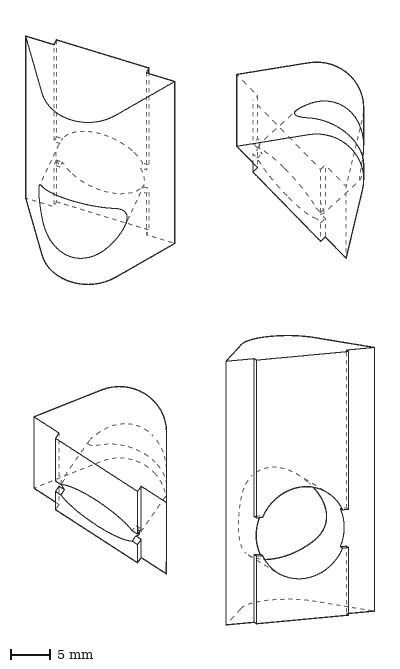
import cadquery as cq
import math

length = 34.5
width = 20.3
depth = 11.2
nose_radius = 6.0
rib_width = 12.55
rib_height = 0.83
hole_diameter = 12.0
hole_height = 11.35
rib_gap = 5.0

nose_tip_y = rib_height - depth
nose_center_y = nose_tip_y + nose_radius
half_width = width / 2

corner_distance = math.hypot(half_width, nose_center_y)
corner_angle = math.atan2(-nose_center_y, half_width)
tangent_angle = corner_angle - math.acos(nose_radius / corner_distance)
tangent_x = nose_radius * math.cos(tangent_angle)
tangent_y = nose_center_y + nose_radius * math.sin(tangent_angle)


def make_body():
    """Wedge-shaped bar with a rounded nose."""
    return (
        cq.Workplane("XY")
        .moveTo(-half_width, 0)
        .lineTo(-tangent_x, tangent_y)
        .threePointArc((0, nose_tip_y), (tangent_x, tangent_y))
        .lineTo(half_width, 0)
        .close()
        .extrude(length)
    )


def make_rib():
    """Low rib on the back, interrupted by a gap across its full width."""
    rib = cq.Workplane("XY").box(rib_width, rib_height, length, centered=(True, False, False))
    gap = (
        cq.Workplane("XY")
        .box(rib_width, rib_height, rib_gap, centered=(True, False, True))
        .translate((0, 0, hole_height))
    )
    return rib.cut(gap)


def make_hole():
    """Cylinder through the whole depth along Y."""
    return (
        cq.Workplane("XZ", origin=(0, rib_height, 0))
        .center(0, hole_height)
        .circle(hole_diameter / 2)
        .extrude(depth)
    )


result = make_body().union(make_rib()).cut(make_hole())